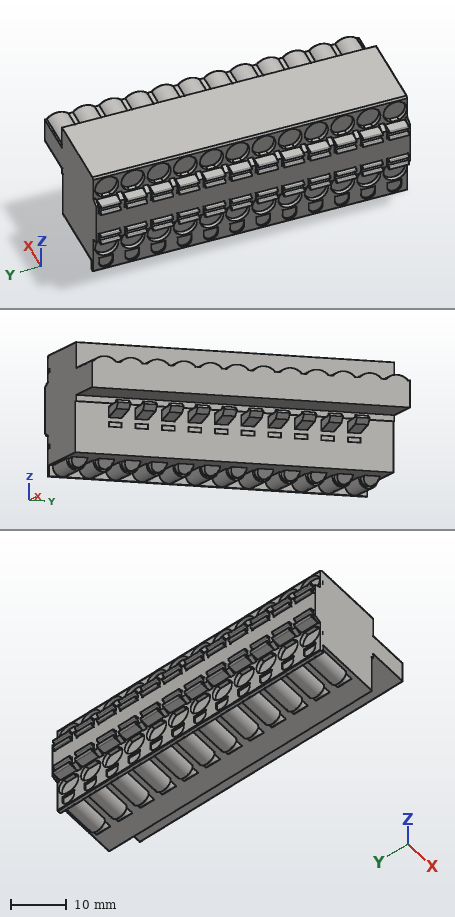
import cadquery as cq


POLES = 12
LENGTH = 60.85
ROW_SPAN = 55.85
PITCH = ROW_SPAN / (POLES - 1)
FIRST_POLE = (LENGTH - ROW_SPAN) / 2
ENTRY_SHIFT = -0.1
LEVER_SHIFT = -0.09

HEIGHT = 22.1
FRONT_X = 2.2
BACK_X = 17.35
LOWER_BACK_X = 17.0
BACK_STEP_Z = 11.3
FLOOR_Z = 2.0
LIP_BACK_X = 3.05
TOP_BEVEL = 0.35
LIP_BEVEL = 0.1

BAND_X = 0.7
BAND_TOP = 17.3
BAND_BOTTOM = 7.55
TOP_SLOPE = 0.7
BOTTOM_SLOPE = 0.6

PLUG_END_X = 25.75
PLUG_BOTTOM = 12.4
PLUG_TOP = 17.35
LOBE_HALF_WIDTH = 4.2 / 2
LOBE_RISE = 0.9

ENTRY_RADIUS = 2.25
ENTRY_DEPTH = 0.85
UPPER_ENTRY_Z = 19.3
LOWER_ENTRY_Z = 5.5
ENTRY_GAP = 0.1

LEVER_WIDTH = 3.85
POCKET_WIDTH = 4.15
LEVER_HEIGHT = 2.1
LEVER_GAP = 0.05
PRONG_RADIUS = 0.3
HOOK_RADIUS = 0.25
PRONG_ROOT_X = 0.7
HOOK_ROOT_X = 1.1
HOOK_ROOT_Z = 1.35
UPPER_LEVER_BASE = 14.7
LOWER_LEVER_BASE = 7.8

SLOT_RADIUS = 2.75 / 2
SLOT_SIDE = 1.1
SLOT_DEPTH = 0.35
RIB_RADIUS = 3.6 / 2
SLOT_AXIS_Z = RIB_RADIUS
RIB_END_X = 10.45
CORE_RADIUS = 1.45
CORE_FLAT_END_X = 11.25
CORE_END_X = 12.5

LATCH_WIDTH = 2.45
LATCH_ROOT_BOTTOM = 8.75
LATCH_ROOT_TOP = 10.7
LATCH_TIP_X = 22.0
BARB_X = 21.0
BARB_BOTTOM = 9.7
BARB_TOP = 11.3
BARB_STEP = 0.35
NUB_PROUD = 0.2
NUB_BOTTOM = 7.05
NUB_TOP = 7.9


def centred_prism(points, y, width):
    """Extrude an XZ outline along Y, centred on y."""
    plane = cq.Workplane("XZ", origin=(0, y - width / 2, 0))
    return plane.polyline(points).close().extrude(-width)


def yz_plane(x, y=0, z=0):
    return cq.Workplane("YZ", origin=(x, y, z))


def make_housing():
    outline = [
        (FRONT_X + LIP_BEVEL, 0),
        (LIP_BACK_X, 0),
        (LIP_BACK_X, FLOOR_Z),
        (LOWER_BACK_X, FLOOR_Z),
        (LOWER_BACK_X, BACK_STEP_Z),
        (BACK_X, BACK_STEP_Z),
        (BACK_X, PLUG_BOTTOM),
        (PLUG_END_X, PLUG_BOTTOM),
        (PLUG_END_X, PLUG_TOP),
        (BACK_X, PLUG_TOP),
        (BACK_X, HEIGHT),
        (FRONT_X + TOP_BEVEL, HEIGHT),
        (FRONT_X, HEIGHT - TOP_BEVEL),
        (FRONT_X, BAND_TOP),
        (BAND_X, BAND_TOP - TOP_SLOPE),
        (BAND_X, BAND_BOTTOM + BOTTOM_SLOPE),
        (FRONT_X, BAND_BOTTOM),
        (FRONT_X, LIP_BEVEL),
    ]
    return centred_prism(outline, LENGTH / 2, LENGTH)


def make_lobe(y):
    """Rounded rail on top of the plug."""
    return (
        yz_plane(BACK_X, y, PLUG_TOP)
        .moveTo(-LOBE_HALF_WIDTH, 0)
        .threePointArc((0, LOBE_RISE), (LOBE_HALF_WIDTH, 0))
        .close()
        .extrude(PLUG_END_X - BACK_X)
    )


def make_rib(y):
    """Round rib under the floor with a bevelled core showing at its end."""
    sleeve = yz_plane(LIP_BACK_X, y, SLOT_AXIS_Z).circle(RIB_RADIUS).extrude(RIB_END_X - LIP_BACK_X)
    core = yz_plane(LIP_BACK_X, y, SLOT_AXIS_Z).circle(CORE_RADIUS).extrude(CORE_END_X - LIP_BACK_X)
    core_bottom = SLOT_AXIS_Z - CORE_RADIUS
    bevel = [
        (CORE_FLAT_END_X, core_bottom),
        (CORE_END_X, FLOOR_Z),
        (CORE_END_X, core_bottom),
    ]
    return sleeve.union(core.cut(centred_prism(bevel, y, 2 * CORE_RADIUS)))


def make_lever(y, base):
    """Release lever with a rounded lower prong and a hooked upper prong."""
    return (
        cq.Workplane("XZ", origin=(0, y - LEVER_WIDTH / 2, base))
        .moveTo(FRONT_X, 0)
        .lineTo(PRONG_RADIUS, 0)
        .threePointArc((0, PRONG_RADIUS), (PRONG_RADIUS, 2 * PRONG_RADIUS))
        .lineTo(PRONG_ROOT_X, 2 * PRONG_RADIUS)
        .lineTo(HOOK_ROOT_X, HOOK_ROOT_Z)
        .lineTo(HOOK_RADIUS, LEVER_HEIGHT - 2 * HOOK_RADIUS)
        .threePointArc((0, LEVER_HEIGHT - HOOK_RADIUS), (HOOK_RADIUS, LEVER_HEIGHT))
        .lineTo(FRONT_X, LEVER_HEIGHT)
        .close()
        .extrude(-LEVER_WIDTH)
    )


def make_pocket(y, bottom, top):
    """Gap in the raised band that a lever sits in."""
    return cq.Workplane("XY").box(
        FRONT_X, POCKET_WIDTH, top - bottom, centered=(False, True, False)
    ).translate((0, y, bottom))


def make_entry(y, z, low, high):
    """Blind round wire entry, kept between the heights low and high."""
    disc = yz_plane(FRONT_X, y, z).circle(ENTRY_RADIUS).extrude(ENTRY_DEPTH)
    limit = cq.Workplane("XY").box(
        ENTRY_DEPTH, 2 * ENTRY_RADIUS, high - low, centered=(False, True, False)
    ).translate((FRONT_X, y, low))
    return disc.intersect(limit)


def make_test_slot(y):
    """Shallow slot with a flat top and a round bottom."""
    return (
        yz_plane(FRONT_X, y, SLOT_AXIS_Z)
        .moveTo(-SLOT_RADIUS, 0)
        .threePointArc((0, -SLOT_RADIUS), (SLOT_RADIUS, 0))
        .lineTo(SLOT_RADIUS, SLOT_SIDE)
        .lineTo(-SLOT_RADIUS, SLOT_SIDE)
        .close()
        .extrude(SLOT_DEPTH)
    )


def make_latch(y):
    """Barbed snap arm reaching back under the plug."""
    outline = [
        (LOWER_BACK_X, LATCH_ROOT_BOTTOM),
        (BARB_X, BARB_BOTTOM),
        (LATCH_TIP_X, LATCH_ROOT_TOP),
        (BARB_X, BARB_TOP),
        (BARB_X - BARB_STEP, BARB_TOP - BARB_STEP),
        (LOWER_BACK_X, LATCH_ROOT_TOP),
    ]
    return centred_prism(outline, y, LATCH_WIDTH)


def make_nub(y):
    return cq.Workplane("XY").box(
        NUB_PROUD, LATCH_WIDTH, NUB_TOP - NUB_BOTTOM, centered=(False, True, False)
    ).translate((LOWER_BACK_X, y, NUB_BOTTOM))


def gather(shapes):
    """Collect the solids of several workplanes for a single boolean."""
    return [solid for shape in shapes for solid in shape.solids().vals()]


poles = [FIRST_POLE + PITCH * i for i in range(POLES)]
cuts = []
additions = []
for y in poles:
    cuts.append(make_pocket(y, UPPER_LEVER_BASE, BAND_TOP))
    cuts.append(make_pocket(y, BAND_BOTTOM, LOWER_LEVER_BASE + LEVER_HEIGHT + LEVER_GAP))
    cuts.append(make_entry(y + ENTRY_SHIFT, UPPER_ENTRY_Z, BAND_TOP - ENTRY_GAP, HEIGHT))
    cuts.append(make_entry(y + ENTRY_SHIFT, LOWER_ENTRY_Z, 0, BAND_BOTTOM - ENTRY_GAP))
    cuts.append(make_test_slot(y))
    additions.append(make_lever(y + LEVER_SHIFT, UPPER_LEVER_BASE))
    additions.append(make_lever(y + LEVER_SHIFT, LOWER_LEVER_BASE))
    additions.append(make_lobe(y))
    additions.append(make_rib(y))

for y in poles[1:-1]:
    additions.append(make_latch(y))
    additions.append(make_nub(y))

body = make_housing().val().cut(*gather(cuts)).fuse(*gather(additions)).clean()
result = cq.Workplane("XY").newObject(body.Solids())